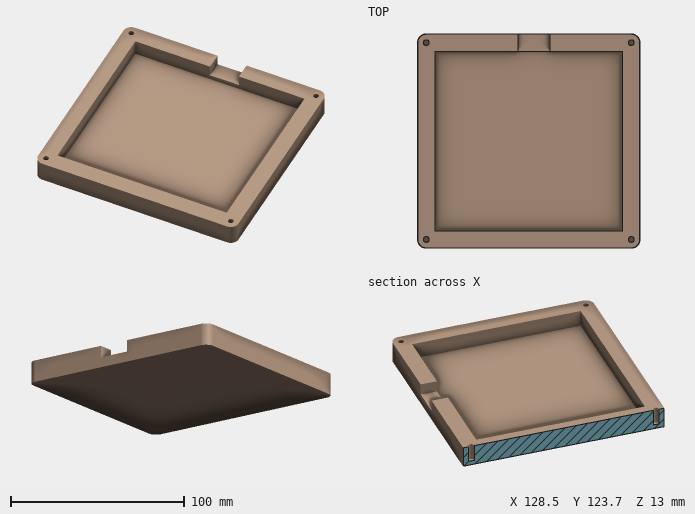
import cadquery as cq

length = 128.5
width = 123.7
height = 13.0
corner_radius = 5.0

wall = 10.0
floor_thickness = 3.0

notch_width = 18.5
notch_center_x = 3.0
notch_depth = 7.0

hole_diameter = 3.3
hole_inset = 5.0


def make_block():
    block = cq.Workplane("XY").box(length, width, height, centered=(True, True, False))
    return block.edges("|Z").fillet(corner_radius)


def make_pocket():
    return (
        cq.Workplane("XY", origin=(0, 0, floor_thickness))
        .rect(length - 2 * wall, width - 2 * wall)
        .extrude(height - floor_thickness)
    )


def make_notch():
    wall_center_y = (width - wall) / 2
    return (
        cq.Workplane("XY", origin=(notch_center_x, wall_center_y, height - notch_depth))
        .rect(notch_width, wall)
        .extrude(notch_depth)
    )


def make_screw_holes():
    return (
        cq.Workplane("XY", origin=(0, 0, floor_thickness))
        .rect(length - 2 * hole_inset, width - 2 * hole_inset, forConstruction=True)
        .vertices()
        .circle(hole_diameter / 2)
        .extrude(height - floor_thickness)
    )


result = make_block().cut(make_pocket()).cut(make_notch()).cut(make_screw_holes())